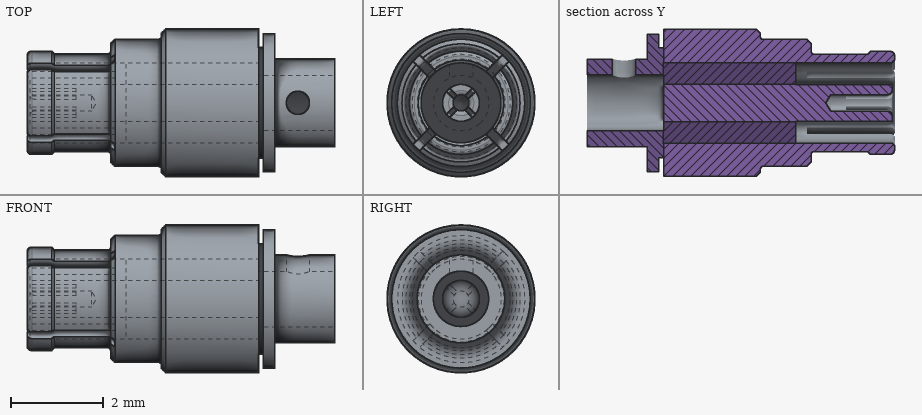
import cadquery as cq
import math

LENGTH = 6.65

HEAD_RADIUS = 1.12
HEAD_ROUND = 0.1
HEAD_END = 0.585
TUBE_RADIUS = 1.06
SHOULDER_START = 1.8
SHOULDER_RADIUS = 1.375
GRIP_START = 2.9
GRIP_END = 5.0
GRIP_DIAMETER = 3.2
GRIP_RADIUS = GRIP_DIAMETER / 2
EDGE_CHAMFER = 0.1
CORNER_FILLET = 0.05
BORE_RADIUS = 0.865
BORE_MOUTH_CHAMFER = 0.06
HOUSING_SLOT_WIDTH = 0.2
HOUSING_SLOT_END = 1.895

NECK_RADIUS = 1.2
FLANGE_START = 5.1
FLANGE_END = 5.35
FLANGE_RADIUS = 1.495
TAIL_RADIUS = 0.95
TAIL_BORE_RADIUS = 0.6
SOLDER_HOLE_DIAMETER = 0.5
SOLDER_HOLE_X = 5.85

INSULATOR_START = 2.135

PIN_START = 0.05
PIN_RADIUS = 0.4
SOCKET_RADIUS = 0.17
SOCKET_DEPTH = 1.33
SOCKET_MOUTH_ROUND = 0.1
DRILL_POINT_ANGLE = 118.0
PIN_SLOT_WIDTH = 0.1
PIN_SLOT_LENGTH = 1.0

SLOT_ANGLES = (45.0, 135.0)


def start_profile(x, radius):
    """Begin a half section in the X-radius plane."""
    return cq.Workplane("XZ").moveTo(x, radius)


def turn(profile):
    """Close a half section and revolve it about the X axis."""
    return profile.close().revolve(360, (0, 0, 0), (1, 0, 0))


def cylinder(x_start, x_end, radius):
    return cq.Workplane("YZ").workplane(offset=x_start).circle(radius).extrude(x_end - x_start)


def cross_slots(x_start, x_end, width):
    """Two crossing slabs that cut four slots at 45 degrees to Y and Z."""
    slabs = cq.Workplane("YZ")
    for angle in SLOT_ANGLES:
        slab = cq.Workplane("XY").box(x_end - x_start, 2 * GRIP_RADIUS, width)
        slab = slab.rotate((0, 0, 0), (1, 0, 0), angle).translate(((x_start + x_end) / 2, 0, 0))
        slabs = slabs.add(slab)
    return slabs.combine()


def round_arc(profile, centre, radius, mid_angle, end):
    """Add an arc about centre that passes mid_angle (degrees from +X) and stops at end."""
    middle = (
        centre[0] + radius * math.cos(math.radians(mid_angle)),
        centre[1] + radius * math.sin(math.radians(mid_angle)),
    )
    return profile.threePointArc(middle, end)


def make_housing():
    head_step = HEAD_RADIUS - TUBE_RADIUS
    profile = start_profile(BORE_MOUTH_CHAMFER, BORE_RADIUS).lineTo(0, BORE_RADIUS + BORE_MOUTH_CHAMFER)
    profile = profile.lineTo(0, HEAD_RADIUS - HEAD_ROUND)
    profile = round_arc(
        profile, (HEAD_ROUND, HEAD_RADIUS - HEAD_ROUND), HEAD_ROUND, 135, (HEAD_ROUND, HEAD_RADIUS)
    )
    profile = profile.lineTo(HEAD_END - head_step, HEAD_RADIUS).lineTo(HEAD_END, TUBE_RADIUS)
    profile = profile.lineTo(SHOULDER_START - CORNER_FILLET, TUBE_RADIUS)
    profile = round_arc(
        profile,
        (SHOULDER_START - CORNER_FILLET, TUBE_RADIUS + CORNER_FILLET),
        CORNER_FILLET,
        -45,
        (SHOULDER_START, TUBE_RADIUS + CORNER_FILLET),
    )
    profile = profile.lineTo(SHOULDER_START, SHOULDER_RADIUS - EDGE_CHAMFER)
    profile = profile.lineTo(SHOULDER_START + EDGE_CHAMFER, SHOULDER_RADIUS)
    profile = profile.lineTo(GRIP_START - CORNER_FILLET, SHOULDER_RADIUS)
    profile = round_arc(
        profile,
        (GRIP_START - CORNER_FILLET, SHOULDER_RADIUS + CORNER_FILLET),
        CORNER_FILLET,
        -45,
        (GRIP_START, SHOULDER_RADIUS + CORNER_FILLET),
    )
    profile = profile.lineTo(GRIP_START, GRIP_RADIUS - EDGE_CHAMFER)
    profile = profile.lineTo(GRIP_START + EDGE_CHAMFER, GRIP_RADIUS)
    profile = profile.lineTo(GRIP_END, GRIP_RADIUS).lineTo(GRIP_END, BORE_RADIUS)
    return turn(profile).cut(cross_slots(0, HOUSING_SLOT_END, HOUSING_SLOT_WIDTH))


def make_ferrule():
    ferrule = cylinder(GRIP_END, FLANGE_START, NECK_RADIUS)
    ferrule = ferrule.union(cylinder(FLANGE_START, FLANGE_END, FLANGE_RADIUS))
    ferrule = ferrule.union(cylinder(FLANGE_END, LENGTH, TAIL_RADIUS))
    ferrule = ferrule.cut(cylinder(GRIP_END, LENGTH, TAIL_BORE_RADIUS))
    solder_hole = (
        cq.Workplane("XY").center(SOLDER_HOLE_X, 0).circle(SOLDER_HOLE_DIAMETER / 2).extrude(TAIL_RADIUS)
    )
    return ferrule.cut(solder_hole)


def make_insulator():
    insulator = cylinder(INSULATOR_START, GRIP_END, BORE_RADIUS)
    return insulator.cut(cylinder(INSULATOR_START, GRIP_END, PIN_RADIUS))


def make_pin():
    socket_end = PIN_START + SOCKET_DEPTH
    point_length = SOCKET_RADIUS / math.tan(math.radians(DRILL_POINT_ANGLE / 2))
    mouth_radius = SOCKET_RADIUS + SOCKET_MOUTH_ROUND
    profile = start_profile(socket_end + point_length, 0).lineTo(socket_end, SOCKET_RADIUS)
    profile = profile.lineTo(PIN_START + SOCKET_MOUTH_ROUND, SOCKET_RADIUS)
    profile = round_arc(
        profile,
        (PIN_START + SOCKET_MOUTH_ROUND, mouth_radius),
        SOCKET_MOUTH_ROUND,
        225,
        (PIN_START, mouth_radius),
    )
    profile = profile.lineTo(PIN_START, PIN_RADIUS).lineTo(GRIP_END, PIN_RADIUS).lineTo(GRIP_END, 0)
    return turn(profile).cut(cross_slots(PIN_START, PIN_START + PIN_SLOT_LENGTH, PIN_SLOT_WIDTH))


housing = make_housing()
ferrule = make_ferrule()
insulator = make_insulator()
pin = make_pin()

result = cq.Compound.makeCompound([housing.val(), ferrule.val(), insulator.val(), pin.val()])